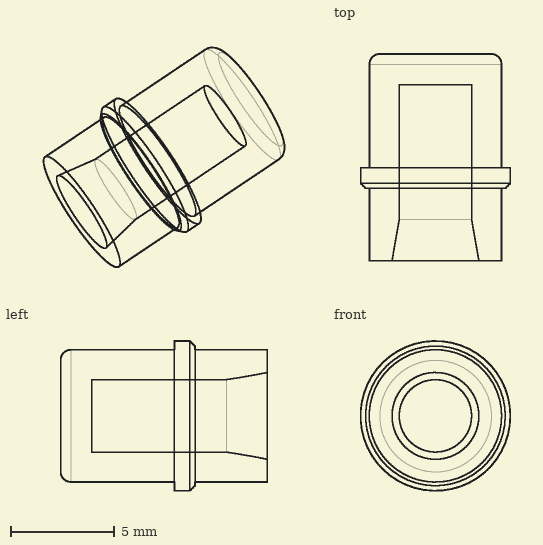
import cadquery as cq

length = 10.0
body_radius = 3.2
closed_end_fillet = 0.5

collar_radius = 3.625
collar_start = 3.5
collar_width = 1.0
collar_chamfer = 0.25

bore_mouth_radius = 2.1
bore_radius = 1.75
taper_depth = 2.0
end_wall = 1.5
bore_depth = length - end_wall


def cylinder_along_y(radius, start, width):
    """Solid cylinder on the Y axis, from Y = start to Y = start + width."""
    return cq.Workplane("XZ", origin=(0, start, 0)).circle(radius).extrude(-width)


def make_body():
    return cylinder_along_y(body_radius, 0, length).faces(">Y").edges().fillet(closed_end_fillet)


def make_collar():
    collar = cylinder_along_y(collar_radius, collar_start, collar_width)
    return collar.faces("<Y").edges().chamfer(collar_chamfer)


def make_bore():
    half_profile = (
        cq.Workplane("XY")
        .lineTo(bore_mouth_radius, 0)
        .lineTo(bore_radius, taper_depth)
        .lineTo(bore_radius, bore_depth)
        .lineTo(0, bore_depth)
        .close()
    )
    return half_profile.revolve(360, (0, 0, 0), (0, 1, 0))


result = make_body().union(make_collar()).cut(make_bore())